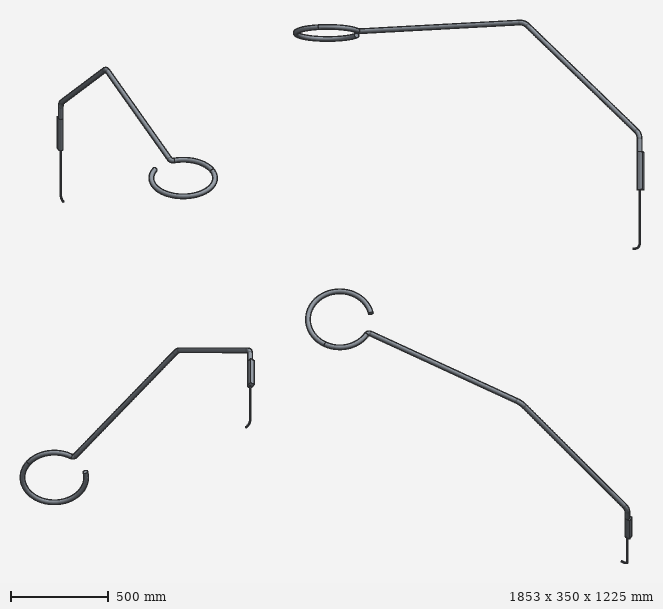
import cadquery as cq
import math

LENGTH_X = 1853.0
HEIGHT_Z = 1225.0
RING_OUTER_DIAMETER = 350.0

TUBE_RADIUS = 12.5
TUBE_DIAMETER = 2 * TUBE_RADIUS
CORNER_OFFSET = 613.0
BEND_ANGLE = 45.0
BEND_RADIUS = 60.0
ELBOW_RADIUS = 17.0

RING_RADIUS = RING_OUTER_DIAMETER / 2 - TUBE_RADIUS
JOINT_ANGLE = 90.0
RING_END_ANGLE = -140.0

SLEEVE_TOP = -708.0
SLEEVE_LENGTH = 196.0
SLEEVE_BOTTOM = SLEEVE_TOP - SLEEVE_LENGTH
SLEEVE_FLAT_DEPTH = 20.0

WIRE_DIAMETER = 7.0
WIRE_BEND_RADIUS = 22.0
HOOK_REACH = 33.0
HOOK_Z = TUBE_RADIUS - HEIGHT_Z + WIRE_DIAMETER / 2

RING_CENTER_X = LENGTH_X - SLEEVE_FLAT_DEPTH - RING_OUTER_DIAMETER / 2
ELBOW_ANGLE = math.degrees(math.acos(ELBOW_RADIUS / (RING_RADIUS + ELBOW_RADIUS)))
RING_START_ANGLE = 90.0 + ELBOW_ANGLE
ELBOW_START_X = RING_CENTER_X - (RING_RADIUS + ELBOW_RADIUS) * math.sin(math.radians(ELBOW_ANGLE))


def ring_point(angle):
    """Point on the ring's centreline at an angle in degrees from +X."""
    turn = math.radians(angle)
    return cq.Vector(RING_CENTER_X + RING_RADIUS * math.cos(turn), RING_RADIUS * math.sin(turn), 0)


def round_bar(path, diameter, start, direction):
    """Round bar swept along a path that starts at a point in a given direction."""
    section = cq.Workplane(cq.Plane(origin=start, normal=direction)).circle(diameter / 2)
    return section.sweep(cq.Workplane(path))


def tangent_path(start, direction, *ends):
    """Path of (end point, is_arc) pieces, each arc tangent to the piece before it."""
    edges = []
    point = cq.Vector(*start)
    heading = cq.Vector(*direction)
    for end, is_arc in ends:
        end = cq.Vector(*end)
        edge = cq.Edge.makeTangentArc(point, heading, end) if is_arc else cq.Edge.makeLine(point, end)
        edges.append(edge)
        point = end
        heading = edge.tangentAt(1)
    return cq.Wire.assembleEdges(edges)


def make_arm():
    """Stub, two bends, sloping tube, straight arm and the elbow at its end."""
    start = (0, 0, SLEEVE_TOP)
    tangent_length = BEND_RADIUS * math.tan(math.radians(BEND_ANGLE / 2))
    slope_run = tangent_length * math.cos(math.radians(BEND_ANGLE))
    ring_start = ring_point(RING_START_ANGLE)
    path = tangent_path(
        start,
        (0, 0, 1),
        ((0, 0, -CORNER_OFFSET - tangent_length), False),
        ((slope_run, 0, slope_run - CORNER_OFFSET), True),
        ((CORNER_OFFSET - slope_run, 0, -slope_run), False),
        ((CORNER_OFFSET + tangent_length, 0, 0), True),
        ((ELBOW_START_X, 0, 0), False),
        (ring_start.toTuple(), True),
    )
    return round_bar(path, TUBE_DIAMETER, start, (0, 0, 1))


def make_ring_piece(start_angle, end_angle):
    """Clockwise arc of the ring between two angles."""
    start = ring_point(start_angle)
    middle = ring_point((start_angle + end_angle) / 2)
    path = cq.Wire.assembleEdges([cq.Edge.makeThreePointArc(start, middle, ring_point(end_angle))])
    turn = math.radians(start_angle)
    return round_bar(path, TUBE_DIAMETER, start, (math.sin(turn), -math.cos(turn), 0))


def make_sleeve():
    """Solid sleeve between the stub and the wire."""
    return (
        cq.Workplane("XY", origin=(0, 0, SLEEVE_BOTTOM))
        .moveTo(0, -TUBE_RADIUS)
        .threePointArc((TUBE_RADIUS, 0), (0, TUBE_RADIUS))
        .lineTo(-SLEEVE_FLAT_DEPTH, TUBE_RADIUS)
        .lineTo(-SLEEVE_FLAT_DEPTH, -TUBE_RADIUS)
        .close()
        .extrude(SLEEVE_LENGTH)
    )


def make_wire():
    """Wire hanging below the sleeve, hooked towards +X at its lower end."""
    start = (0, 0, SLEEVE_BOTTOM)
    path = tangent_path(
        start,
        (0, 0, -1),
        ((0, 0, HOOK_Z + WIRE_BEND_RADIUS), False),
        ((WIRE_BEND_RADIUS, 0, HOOK_Z), True),
        ((HOOK_REACH, 0, HOOK_Z), False),
    )
    return round_bar(path, WIRE_DIAMETER, start, (0, 0, -1))


arm = make_arm()
ring_near_piece = make_ring_piece(RING_START_ANGLE, JOINT_ANGLE)
ring_far_piece = make_ring_piece(JOINT_ANGLE, RING_END_ANGLE)
sleeve = make_sleeve()
wire = make_wire()

result = cq.Compound.makeCompound(
    [arm.val(), ring_near_piece.val(), ring_far_piece.val(), sleeve.val(), wire.val()]
)